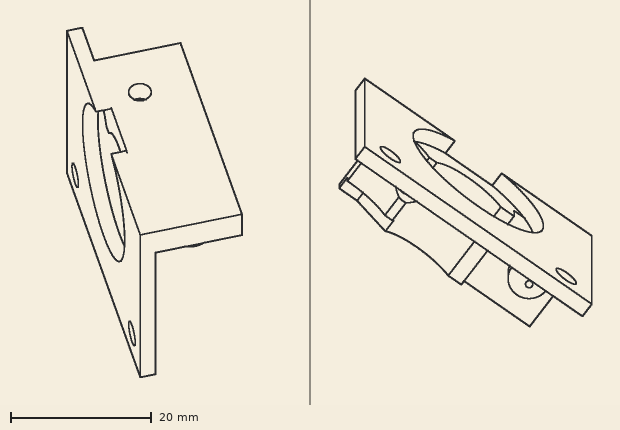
import cadquery as cq
import math

width = 40.0
height = 30.75
depth = 15.0
plate_thickness = 2.3
opening_radius = 11.5
opening_drop = 10.7
mount_hole_radius = 1.75
mount_hole_inset = 4.5
mount_hole_drop = 26.25

shelf_left = 6.45
shelf_bottom = -7.0
left_edge_bottom = -3.3
saddle_mid_x = 10.5
saddle_mid_z = -4.35
foot_left = 13.05
arch_radius = 6.75
step_x = 27.95
step_z = -4.5

relief_depth = 2.0
relief_roof = -1.7
relief_roof_end = 9.6
relief_slope_end = relief_roof_end + relief_roof - shelf_bottom

screw_x = 13.9
screw_y = 7.0
screw_radius = 1.6
clearance_radius = 2.75
clearance_top = -3.2

pin_x = 35.2
pin_y = 8.55
pin_radius = 3.0
pin_tip_radius = 0.5
pin_bottom = -9.55

center_x = width / 2
arch_half_width = math.sqrt(arch_radius**2 - (opening_drop + shelf_bottom) ** 2)


def along_y(start, end, sketch):
    """Extrude an XZ sketch from Y = start to Y = end."""
    plane = cq.Workplane("XZ", origin=(0, start, 0))
    return sketch(plane).extrude(start - end)


def cylinder_z(x, y, radius, bottom, top):
    base = cq.Workplane("XY", origin=(x, y, bottom))
    return base.circle(radius).extrude(top - bottom)


def make_plate():
    plate = along_y(0, plate_thickness, lambda w: w.rect(width, -height, centered=False))
    opening = along_y(
        0, plate_thickness, lambda w: w.center(center_x, -opening_drop).circle(opening_radius)
    )
    hole_points = [(x, -mount_hole_drop) for x in (mount_hole_inset, width - mount_hole_inset)]
    holes = along_y(
        0, plate_thickness, lambda w: w.pushPoints(hole_points).circle(mount_hole_radius)
    )
    return plate.cut(opening).cut(holes)


def shelf_profile(plane):
    return (
        plane.moveTo(shelf_left, 0)
        .lineTo(shelf_left, left_edge_bottom)
        .threePointArc((saddle_mid_x, saddle_mid_z), (foot_left, shelf_bottom))
        .lineTo(center_x - arch_half_width, shelf_bottom)
        .threePointArc(
            (center_x, arch_radius - opening_drop),
            (center_x + arch_half_width, shelf_bottom),
        )
        .lineTo(step_x, shelf_bottom)
        .lineTo(step_x, step_z)
        .lineTo(width, step_z)
        .lineTo(width, 0)
        .close()
    )


def relief_profile(plane):
    return (
        plane.moveTo(shelf_left, relief_roof)
        .lineTo(relief_roof_end, relief_roof)
        .lineTo(relief_slope_end, shelf_bottom)
        .lineTo(shelf_left, shelf_bottom)
        .close()
    )


def make_shelf():
    shelf = along_y(plate_thickness, depth, shelf_profile)
    relief = along_y(depth - relief_depth, depth, relief_profile)
    screw_hole = cylinder_z(screw_x, screw_y, screw_radius, shelf_bottom, 0)
    clearance = cylinder_z(screw_x, screw_y, clearance_radius, shelf_bottom, clearance_top)
    return shelf.cut(relief).cut(screw_hole).cut(clearance)


def make_pin():
    shank = cylinder_z(pin_x, pin_y, pin_radius, shelf_bottom, step_z)
    taper = cq.Solid.makeCone(
        pin_radius,
        pin_tip_radius,
        shelf_bottom - pin_bottom,
        cq.Vector(pin_x, pin_y, shelf_bottom),
        cq.Vector(0, 0, -1),
    )
    return shank.union(cq.Workplane(taper))


result = make_plate().union(make_shelf()).union(make_pin())